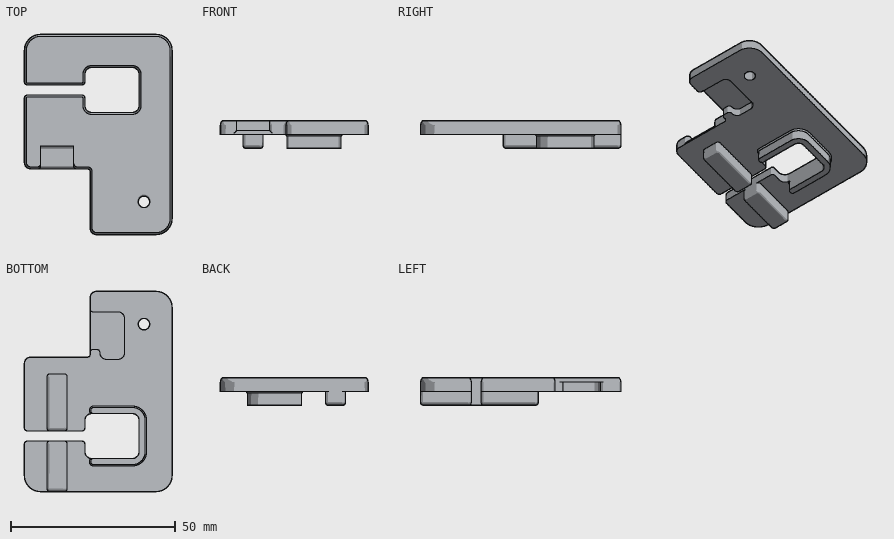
import cadquery as cq
import math

WIDTH = 45.0
LENGTH = 61.0
PLATE_THICKNESS = 4.3
TOTAL_HEIGHT = 8.4
RAISED_HEIGHT = TOTAL_HEIGHT - PLATE_THICKNESS

LARGE_RADIUS = 5.0
MEDIUM_RADIUS = 2.0
SMALL_RADIUS = 1.0
INNER_CORNER_RADIUS = 0.75

STEP_X = 20.0
STEP_Y = 20.0

WINDOW_LEFT = 18.5
WINDOW_WIDTH = 16.4
WINDOW_LENGTH = 13.6
SLOT_WIDTH = 3.0
KEYHOLE_CENTER_Y = 44.05
WINDOW_RIGHT = WINDOW_LEFT + WINDOW_WIDTH
WINDOW_FRONT = KEYHOLE_CENTER_Y - WINDOW_LENGTH / 2
WINDOW_BACK = KEYHOLE_CENTER_Y + WINDOW_LENGTH / 2
SLOT_FRONT = KEYHOLE_CENTER_Y - SLOT_WIDTH / 2
SLOT_BACK = KEYHOLE_CENTER_Y + SLOT_WIDTH / 2

EDGE_ARC_RADIUS = 2.0
EDGE_ARC_HEIGHT = 1.45
EDGE_CUT_MARGIN = 0.3

RECESS_LEFT = 5.0
RECESS_WIDTH = 10.0
RECESS_LENGTH = 6.95
RECESS_DEPTH = 3.0

HOLE_X = 36.4
HOLE_Y = 10.0
HOLE_DIAMETER = 3.4
HOLE_EDGE_RADIUS = 0.5

RAIL_LEFT = 6.9
RAIL_WIDTH = 6.15
RAIL_FRONT = 25.15
RAIL_EDGE_RADIUS = 0.9

FRAME_LEFT = 20.25
FRAME_WALL = 1.9
FRAME_END_RADIUS = 0.85
FRAME_FLARE = 0.4

POCKET_ROOF = 1.3
POCKET_FRONT = 6.3
POCKET_BACK = 20.75
POCKET_RIGHT = 30.5
OPENING_BACK = 17.7
JAMB_THICKNESS = 3.0
OPENING_MARGIN = 0.05


def rounded_outline(corners, z):
    """Closed outline at height z from (x, y, radius) corners, starting midway along the last side."""
    count = len(corners)
    last_x, last_y, _ = corners[-1]
    first_x, first_y, _ = corners[0]
    outline = cq.Workplane("XY", origin=(0, 0, z)).moveTo((last_x + first_x) / 2, (last_y + first_y) / 2)
    for index, (x, y, radius) in enumerate(corners):
        if radius == 0:
            outline = outline.lineTo(x, y)
            continue
        corner = cq.Vector(x, y)
        before = (cq.Vector(*corners[index - 1][:2]) - corner).normalized()
        after = (cq.Vector(*corners[(index + 1) % count][:2]) - corner).normalized()
        start = corner + before * radius
        end = corner + after * radius
        center = start + after * radius
        middle = center + (corner - center).normalized() * radius
        outline = outline.lineTo(start.x, start.y).threePointArc((middle.x, middle.y), (end.x, end.y))
    return outline.close()


def rounded_block(left, front, right, back, radius, z, height):
    """Upright block with rounded vertical edges, extruded from z by height."""
    corners = [(left, front, radius), (right, front, radius), (right, back, radius), (left, back, radius)]
    return rounded_outline(corners, z).extrude(height)


PLATE_CORNERS = [
    (WIDTH, 0, LARGE_RADIUS),
    (WIDTH, LENGTH, LARGE_RADIUS),
    (0, LENGTH, LARGE_RADIUS),
    (0, SLOT_BACK, SMALL_RADIUS),
    (WINDOW_LEFT, SLOT_BACK, SMALL_RADIUS),
    (WINDOW_LEFT, WINDOW_BACK, MEDIUM_RADIUS),
    (WINDOW_RIGHT, WINDOW_BACK, MEDIUM_RADIUS),
    (WINDOW_RIGHT, WINDOW_FRONT, MEDIUM_RADIUS),
    (WINDOW_LEFT, WINDOW_FRONT, MEDIUM_RADIUS),
    (WINDOW_LEFT, SLOT_FRONT, SMALL_RADIUS),
    (0, SLOT_FRONT, SMALL_RADIUS),
    (0, STEP_Y, MEDIUM_RADIUS),
    (STEP_X, STEP_Y, INNER_CORNER_RADIUS),
    (STEP_X, 0, MEDIUM_RADIUS),
]


def recess_cutter():
    """Recess, open at the step wall, whose rear floor edge is rounded."""
    block = (
        cq.Workplane("XY", origin=(RECESS_LEFT, STEP_Y, -RECESS_DEPTH))
        .box(RECESS_WIDTH, RECESS_LENGTH, RECESS_DEPTH, centered=False)
    )
    return block.faces(">Y").edges("<Z").fillet(SMALL_RADIUS)


def round_recess_mouth(plate):
    """Round the side and floor edges where the recess meets the step wall and its rounded top edge."""
    tolerance = 0.05
    mouth = cq.selectors.BoxSelector(
        (RECESS_LEFT - tolerance, STEP_Y - tolerance, -RECESS_DEPTH - tolerance),
        (RECESS_LEFT + RECESS_WIDTH + tolerance, STEP_Y + SMALL_RADIUS, -tolerance),
    )
    return plate.edges(mouth).fillet(SMALL_RADIUS)


def top_edge_cutter():
    """Sliver swept around the top outline that leaves an arc tangent to the side walls."""
    inset = EDGE_ARC_RADIUS - math.sqrt(EDGE_ARC_RADIUS**2 - EDGE_ARC_HEIGHT**2)
    half_angle = math.asin(EDGE_ARC_HEIGHT / EDGE_ARC_RADIUS) / 2
    middle_inset = EDGE_ARC_RADIUS * (1 - math.cos(half_angle))
    middle_z = EDGE_ARC_RADIUS * math.sin(half_angle) - EDGE_ARC_HEIGHT
    start_x = (STEP_X + WIDTH) / 2
    profile = (
        cq.Workplane(cq.Plane(origin=(start_x, 0, 0), xDir=(0, 1, 0), normal=(1, 0, 0)))
        .moveTo(0, -EDGE_ARC_HEIGHT)
        .threePointArc((middle_inset, middle_z), (inset, 0))
        .lineTo(inset, EDGE_CUT_MARGIN)
        .lineTo(-EDGE_CUT_MARGIN, EDGE_CUT_MARGIN)
        .lineTo(-EDGE_CUT_MARGIN, -EDGE_ARC_HEIGHT)
        .close()
    )
    return profile.sweep(rounded_outline(PLATE_CORNERS, 0))


def hole_cutter():
    """Through hole whose top edge is rounded outward."""
    radius = HOLE_DIAMETER / 2
    bend = HOLE_EDGE_RADIUS * (1 - math.sqrt(0.5))
    return (
        cq.Workplane("XZ", origin=(HOLE_X, HOLE_Y, 0))
        .moveTo(0, 0)
        .lineTo(radius + HOLE_EDGE_RADIUS, 0)
        .threePointArc((radius + bend, -bend), (radius, -HOLE_EDGE_RADIUS))
        .lineTo(radius, -PLATE_THICKNESS)
        .lineTo(0, -PLATE_THICKNESS)
        .close()
        .revolve(360, (0, 0), (0, 1))
    )


def pocket_cutter():
    """Underside pocket behind a rounded jamb, with an opening through the left wall of the leg."""
    depth = PLATE_THICKNESS - POCKET_ROOF
    jamb_right = STEP_X + JAMB_THICKNESS
    outside = STEP_X - SMALL_RADIUS
    flared_front = POCKET_FRONT - SMALL_RADIUS - OPENING_MARGIN
    flared_back = OPENING_BACK + SMALL_RADIUS + OPENING_MARGIN
    outline = rounded_outline(
        [
            (STEP_X, flared_front, 0),
            (STEP_X, POCKET_FRONT, SMALL_RADIUS),
            (POCKET_RIGHT, POCKET_FRONT, MEDIUM_RADIUS),
            (POCKET_RIGHT, POCKET_BACK, MEDIUM_RADIUS),
            (jamb_right, POCKET_BACK, MEDIUM_RADIUS),
            (jamb_right, OPENING_BACK, SMALL_RADIUS),
            (STEP_X, OPENING_BACK, SMALL_RADIUS),
            (STEP_X, flared_back, 0),
            (outside, flared_back, 0),
            (outside, flared_front, 0),
        ],
        -PLATE_THICKNESS,
    )
    return outline.extrude(depth)


def rail(front, back):
    """One length of rail with its lower edges rounded."""
    block = rounded_block(
        RAIL_LEFT, front, RAIL_LEFT + RAIL_WIDTH, back, SMALL_RADIUS, -PLATE_THICKNESS, -RAISED_HEIGHT
    )
    return block.faces("<Z").edges().fillet(RAIL_EDGE_RADIUS)


def frame_corners(growth):
    """Corners of the C-shaped wall, with its outer side and ends moved outward by growth."""
    left = FRAME_LEFT - growth
    right = WINDOW_RIGHT + FRAME_WALL + growth
    front = WINDOW_FRONT - FRAME_WALL - growth
    back = WINDOW_BACK + FRAME_WALL + growth
    outer_radius = MEDIUM_RADIUS + FRAME_WALL + growth
    return [
        (right, front, outer_radius),
        (right, back, outer_radius),
        (left, back, FRAME_END_RADIUS + growth),
        (left, WINDOW_BACK, FRAME_END_RADIUS),
        (WINDOW_RIGHT, WINDOW_BACK, MEDIUM_RADIUS),
        (WINDOW_RIGHT, WINDOW_FRONT, MEDIUM_RADIUS),
        (left, WINDOW_FRONT, FRAME_END_RADIUS),
        (left, front, FRAME_END_RADIUS + growth),
    ]


def frame():
    """C-shaped wall flush with the window, flared outward where it meets the plate."""
    wall = rounded_outline(frame_corners(0), -PLATE_THICKNESS).extrude(-RAISED_HEIGHT)
    root = rounded_outline(frame_corners(FRAME_FLARE), -PLATE_THICKNESS)
    tip = rounded_outline(frame_corners(0), -PLATE_THICKNESS - FRAME_FLARE)
    flare = cq.Solid.makeLoft([root.val(), tip.val()], True)
    return wall.union(cq.Workplane(flare))


plate = rounded_outline(PLATE_CORNERS, -PLATE_THICKNESS).extrude(PLATE_THICKNESS)
plate = plate.cut(top_edge_cutter())
plate = round_recess_mouth(plate.cut(recess_cutter()))
plate = plate.cut(hole_cutter()).cut(pocket_cutter())

result = plate.union(rail(RAIL_FRONT, SLOT_FRONT)).union(rail(SLOT_BACK, LENGTH)).union(frame())